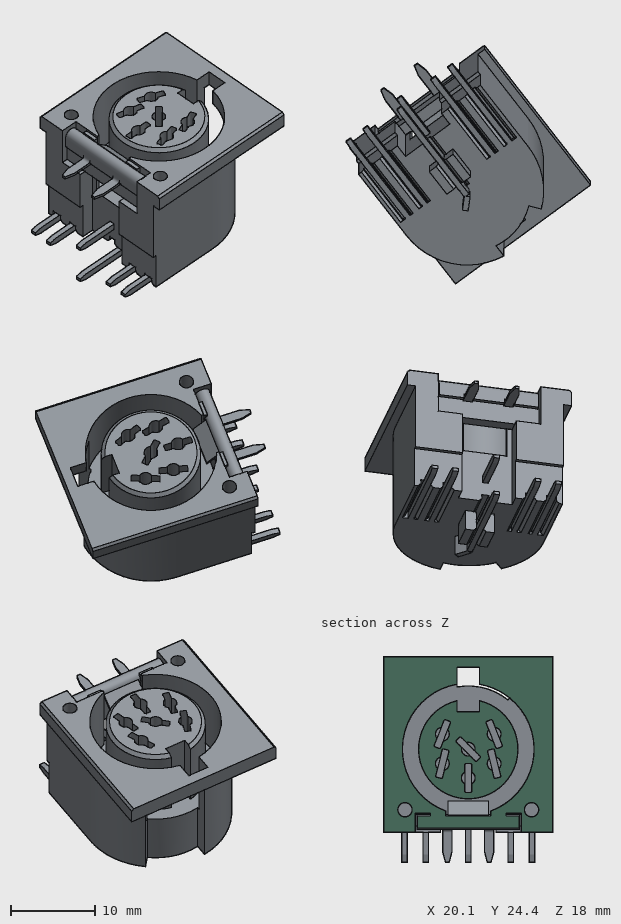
import cadquery as cq
import math


FLANGE_WIDTH = 20.07
FLANGE_BACK_Y = 10.95
FLANGE_THICKNESS = 2.07
FLANGE_EDGE_CHAMFER = 0.28
FRONT_Y = -9.87
HOUSING_RADIUS = 9.04
HOUSING_BOTTOM_Z = -15.47
STEP_TOP_Z = -10.43
STEP_Y = -9.42
SCREW_HOLE_X = 7.5
SCREW_HOLE_Y = -7.18
SCREW_HOLE_RADIUS = 0.83
SCREW_HOLE_DEPTH = 5.0

BORE_RADIUS = 7.79
BORE_FLOOR_Z = -8.88
PLUG_RADIUS = 5.9
PLUG_CHAMFER_WIDTH = 0.45
PLUG_CHAMFER_HEIGHT = 0.4
KEY_WIDTH = 2.64
KEY_INNER_Y = 4.46
KEY_OUTER_Y = 9.69
WALL_GAP_RADIUS = 7.5
WALL_GAP_END_ANGLE = 51.0

CONTACT_OPENINGS = (
    (0.0, 0.0, 45.0),
    (0.0, -3.42, 0.0),
    (-3.07, 1.78, -21.5),
    (3.07, 1.78, 21.5),
    (-3.07, -1.72, -13.8),
    (3.07, -1.72, 13.8),
)
CONTACT_HOLE_RADIUS = 0.8
CONTACT_SLOT_LENGTH = 3.43
CONTACT_SLOT_WIDTH = 0.8
CONTACT_SLOT_CORNER_RADIUS = 0.15
CONTACT_HOLE_DEPTH = 5.0
CONTACT_SLOT_DEPTH = 6.0

RECESS_HALF_WIDTH = 6.26
RECESS_BOTTOM_Z = -5.12
RECESS_BACK_Y = -7.62
CHANNEL_HALF_WIDTH = 3.28
CHANNEL_BACK_Y = -7.8
WINDOW_HALF_WIDTH = 2.66

CLIP_HALF_WIDTH = 6.06
CLIP_BACK_Y = -7.73
CLIP_FRONT_Y = -9.55
CLIP_TOP_Z = -0.36
CLIP_PLATE_BOTTOM_Z = -2.66
CLIP_BASE_FRONT_Y = -9.1
CLIP_LUG_INNER_X = 2.65
CLIP_LUG_OUTER_X = 4.5
CLIP_LUG_FRONT_Y = -8.1
CLIP_LUG_TOP_Z = -0.3
TONGUE_HALF_WIDTH = 2.4
TONGUE_TIP_Y = -6.16
TONGUE_ROOT_Y = -8.1
TONGUE_ROOT_Z = -0.7
TONGUE_DROP = 1.6
SHEET_THICKNESS = 0.34
SHIELD_PIN_X = 2.48
SHIELD_PIN_WIDTH = 1.12
SHIELD_PIN_TIP_WIDTH = 0.45
SHIELD_PIN_TOP_Z = -2.5
SHIELD_PIN_TAPER = 1.25
SHIELD_PIN_BEND = 0.38

PIN_TIP_Y = -13.43
PIN_HEIGHT = 0.87
PIN_WIDTH = 0.68
PIN_TAPER = 0.9
PIN_TIP_HEIGHT = 0.4
UPPER_PIN_TOP_Z = -12.07
LOWER_PIN_TOP_Z = HOUSING_BOTTOM_Z + PIN_HEIGHT
LOWER_PIN_REAR_Y = -1.72
INNER_PIN_X = 5.04
OUTER_PIN_X = 7.56

INNER_SLOT_X = 5.04
INNER_SLOT_HALF_WIDTH = 0.52
OUTER_SLOT_X = 7.68
OUTER_SLOT_HALF_WIDTH = 0.6
SLOT_FLARE = 0.33

BLOCK_HALF_WIDTH = 1.77
BLOCK_BACK_Y = -1.69
BLOCK_FRONT_Y = -5.15
BLOCK_BOTTOM_Z = -18.03
CENTRE_SLOT_HALF_WIDTH = 0.42
CENTRE_SLOT_BACK_Y = -0.6
STRIP_TOP_Z = -15.66
STRIP_BOTTOM_Z = -17.97
STRIP_BACK_Y = -0.1
STRIP_SLOPE_BACK_Y = -3.7
BLADE_TOP_Z = LOWER_PIN_TOP_Z
BLADE_ANGLE = 45.0
BLADE_LENGTH = 1.75

FLANGE_HALF_WIDTH = FLANGE_WIDTH / 2


def box(x_range, y_range, z_range):
    """Box given by its limits along each axis."""
    size = [abs(limits[1] - limits[0]) for limits in (x_range, y_range, z_range)]
    corner = [min(limits) for limits in (x_range, y_range, z_range)]
    return cq.Workplane("XY").box(*size, centered=False).translate(tuple(corner))


def centred_box(half_width, y_range, z_range):
    """Box which is symmetric about X = 0."""
    return box((-half_width, half_width), y_range, z_range)


def cylinder(radius, top_z, bottom_z):
    """Cylinder on the mating axis."""
    return cq.Workplane("XY").workplane(offset=bottom_z).circle(radius).extrude(top_z - bottom_z)


def make_shell():
    """Flange plate over a round-backed housing with a stepped front."""
    flange = centred_box(FLANGE_HALF_WIDTH, (FRONT_Y, FLANGE_BACK_Y), (-FLANGE_THICKNESS, 0))
    flange = flange.faces(">Z").edges("|Y").chamfer(FLANGE_EDGE_CHAMFER)
    round_back = cylinder(HOUSING_RADIUS, -FLANGE_EDGE_CHAMFER, HOUSING_BOTTOM_Z)
    front = centred_box(HOUSING_RADIUS, (FRONT_Y, 0), (HOUSING_BOTTOM_Z, -FLANGE_EDGE_CHAMFER))
    step = centred_box(HOUSING_RADIUS, (FRONT_Y, STEP_Y), (HOUSING_BOTTOM_Z, STEP_TOP_Z))
    shell = flange.union(round_back).union(front).cut(step)
    holes = (
        cq.Workplane("XY")
        .pushPoints([(-SCREW_HOLE_X, SCREW_HOLE_Y), (SCREW_HOLE_X, SCREW_HOLE_Y)])
        .circle(SCREW_HOLE_RADIUS)
        .extrude(-SCREW_HOLE_DEPTH)
    )
    return shell.cut(holes)


def make_wall_gap():
    """Gap in the housing wall below the flange, from the keyway round to one side."""

    def at(radius, angle):
        return radius * math.cos(math.radians(angle)), radius * math.sin(math.radians(angle))

    start_angle = 90.0
    middle_angle = (start_angle + WALL_GAP_END_ANGLE) / 2
    return (
        cq.Workplane("XY", origin=(0, 0, -FLANGE_THICKNESS))
        .moveTo(*at(WALL_GAP_RADIUS, start_angle))
        .threePointArc(at(WALL_GAP_RADIUS, middle_angle), at(WALL_GAP_RADIUS, WALL_GAP_END_ANGLE))
        .lineTo(*at(KEY_OUTER_Y, WALL_GAP_END_ANGLE))
        .threePointArc(at(KEY_OUTER_Y, middle_angle), at(KEY_OUTER_Y, start_angle))
        .close()
        .extrude(HOUSING_BOTTOM_Z + FLANGE_THICKNESS)
    )


def make_keyway():
    """Keyway through the bore wall, open from top to bottom."""
    keyway = centred_box(KEY_WIDTH / 2, (0, KEY_OUTER_Y), (HOUSING_BOTTOM_Z, 0))
    return keyway.cut(cylinder(WALL_GAP_RADIUS, 0, HOUSING_BOTTOM_Z))


def make_contact_opening(x, y, turn):
    """Round hole crossed by a slot for one contact."""
    hole = cq.Workplane("XY").circle(CONTACT_HOLE_RADIUS).extrude(-CONTACT_HOLE_DEPTH)
    slot = cq.Workplane("XY").rect(CONTACT_SLOT_WIDTH, CONTACT_SLOT_LENGTH).extrude(-CONTACT_SLOT_DEPTH)
    slot = slot.edges("|Z").fillet(CONTACT_SLOT_CORNER_RADIUS)
    return hole.union(slot).rotate((0, 0, 0), (0, 0, 1), turn).translate((x, y, 0))


def make_plug():
    """Plug standing on the bore floor, with its key groove and contact openings."""
    outline = (
        cq.Workplane("XZ")
        .moveTo(0, BORE_FLOOR_Z)
        .lineTo(PLUG_RADIUS, BORE_FLOOR_Z)
        .lineTo(PLUG_RADIUS, -PLUG_CHAMFER_HEIGHT)
        .lineTo(PLUG_RADIUS - PLUG_CHAMFER_WIDTH, 0)
        .lineTo(0, 0)
        .close()
    )
    plug = outline.revolve(360, (0, 0, 0), (0, 1, 0))
    plug = plug.cut(centred_box(KEY_WIDTH / 2, (KEY_INNER_Y, PLUG_RADIUS), (BORE_FLOOR_Z, 0)))
    for x, y, turn in CONTACT_OPENINGS:
        plug = plug.cut(make_contact_opening(x, y, turn))
    return plug


def cut_front(shell):
    """Cut the clip recess, the tall channel and the window into the bore."""
    recess = centred_box(RECESS_HALF_WIDTH, (FRONT_Y, RECESS_BACK_Y), (RECESS_BOTTOM_Z, 0))
    channel = centred_box(CHANNEL_HALF_WIDTH, (FRONT_Y, CHANNEL_BACK_Y), (HOUSING_BOTTOM_Z, RECESS_BOTTOM_Z))
    window = centred_box(WINDOW_HALF_WIDTH, (FRONT_Y, -PLUG_RADIUS), (BORE_FLOOR_Z, 0))
    return shell.cut(recess).cut(channel).cut(window)


def make_bottom_slot(centre_x, half_width, y_range, top_z, bottom_z):
    """Slot along Y which is open downwards and flared at its mouth."""
    rear_y = max(y_range)
    length = rear_y - min(y_range)
    mouth = half_width + SLOT_FLARE
    flare_z = bottom_z + SLOT_FLARE
    return (
        cq.Workplane("XZ", origin=(centre_x, rear_y, 0))
        .polyline([
            (-half_width, top_z),
            (half_width, top_z),
            (half_width, flare_z),
            (mouth, bottom_z),
            (-mouth, bottom_z),
            (-half_width, flare_z),
        ])
        .close()
        .extrude(length)
    )


def make_pin(x, top_z, rear_y):
    """Flat pin along Y whose tip tapers in height."""
    bottom_z = top_z - PIN_HEIGHT
    middle_z = (top_z + bottom_z) / 2
    taper_y = PIN_TIP_Y + PIN_TAPER
    return (
        cq.Workplane("YZ", origin=(x, 0, 0))
        .polyline([
            (rear_y, top_z),
            (taper_y, top_z),
            (PIN_TIP_Y, middle_z + PIN_TIP_HEIGHT / 2),
            (PIN_TIP_Y, middle_z - PIN_TIP_HEIGHT / 2),
            (taper_y, bottom_z),
            (rear_y, bottom_z),
        ])
        .close()
        .extrude(PIN_WIDTH / 2, both=True)
    )


def make_guide_block():
    """Block below the housing which guides the centre contact."""
    return centred_box(BLOCK_HALF_WIDTH, (BLOCK_FRONT_Y, BLOCK_BACK_Y), (BLOCK_BOTTOM_Z, HOUSING_BOTTOM_Z))


def make_centre_contact():
    """Upright blade turned about Z, running into a strip and a thin pin."""
    pin = make_pin(0, STRIP_BOTTOM_Z + PIN_HEIGHT, STRIP_BACK_Y)
    strip = (
        cq.Workplane("YZ")
        .polyline([
            (STRIP_BACK_Y, STRIP_TOP_Z),
            (STRIP_SLOPE_BACK_Y, STRIP_TOP_Z),
            (BLOCK_FRONT_Y, STRIP_BOTTOM_Z + PIN_HEIGHT),
            (BLOCK_FRONT_Y, STRIP_BOTTOM_Z),
            (STRIP_BACK_Y, STRIP_BOTTOM_Z),
        ])
        .close()
        .extrude(PIN_WIDTH / 2, both=True)
    )
    blade = centred_box(PIN_WIDTH / 2, (0, BLADE_LENGTH), (STRIP_BOTTOM_Z, BLADE_TOP_Z))
    blade = blade.rotate((0, 0, 0), (0, 0, 1), BLADE_ANGLE)
    return pin.union(strip).union(blade)


def make_shield_pin(x):
    """Sheet pin bent forward out of the clip, tapering in width to its tip."""
    rear_y = CLIP_BASE_FRONT_Y
    taper_y = PIN_TIP_Y + SHIELD_PIN_TAPER
    half_width = SHIELD_PIN_WIDTH / 2
    half_tip = SHIELD_PIN_TIP_WIDTH / 2
    pin = (
        cq.Workplane("XY", origin=(x, 0, SHIELD_PIN_TOP_Z))
        .moveTo(-half_width, rear_y)
        .lineTo(-half_width, taper_y)
        .lineTo(-half_tip, PIN_TIP_Y)
        .lineTo(half_tip, PIN_TIP_Y)
        .lineTo(half_width, taper_y)
        .lineTo(half_width, rear_y)
        .close()
        .extrude(-SHEET_THICKNESS)
    )
    bend_y = CLIP_FRONT_Y - SHIELD_PIN_BEND
    sag = SHIELD_PIN_BEND * (1 - math.sqrt(0.5))
    bend = (
        cq.Workplane("YZ", origin=(x, 0, 0))
        .moveTo(CLIP_FRONT_Y, SHIELD_PIN_TOP_Z + SHIELD_PIN_BEND)
        .threePointArc((CLIP_FRONT_Y - sag, SHIELD_PIN_TOP_Z + sag), (bend_y, SHIELD_PIN_TOP_Z))
        .lineTo(bend_y, SHIELD_PIN_TOP_Z - SHEET_THICKNESS)
        .lineTo(rear_y, SHIELD_PIN_TOP_Z - SHEET_THICKNESS)
        .lineTo(rear_y, SHIELD_PIN_TOP_Z + SHIELD_PIN_BEND)
        .close()
        .extrude(half_width, both=True)
    )
    return pin.union(bend)


def make_clip():
    """Shield clip: round-topped plate on a base, with lugs, tongue and two pins."""
    round_radius = (CLIP_BACK_Y - CLIP_FRONT_Y) / 2
    round_base_z = CLIP_TOP_Z - round_radius
    round_centre_y = (CLIP_BACK_Y + CLIP_FRONT_Y) / 2
    clip = (
        cq.Workplane("YZ")
        .moveTo(CLIP_BACK_Y, CLIP_PLATE_BOTTOM_Z)
        .lineTo(CLIP_BACK_Y, round_base_z)
        .threePointArc((round_centre_y, CLIP_TOP_Z), (CLIP_FRONT_Y, round_base_z))
        .lineTo(CLIP_FRONT_Y, CLIP_PLATE_BOTTOM_Z)
        .close()
        .extrude(CLIP_HALF_WIDTH, both=True)
    )
    base = centred_box(
        RECESS_HALF_WIDTH, (CLIP_BASE_FRONT_Y, CLIP_BACK_Y), (RECESS_BOTTOM_Z, CLIP_PLATE_BOTTOM_Z)
    )
    tongue = (
        cq.Workplane("YZ")
        .polyline([
            (TONGUE_ROOT_Y, TONGUE_ROOT_Z),
            (TONGUE_TIP_Y, TONGUE_ROOT_Z - TONGUE_DROP),
            (TONGUE_TIP_Y, TONGUE_ROOT_Z - TONGUE_DROP - SHEET_THICKNESS),
            (TONGUE_ROOT_Y, TONGUE_ROOT_Z - SHEET_THICKNESS),
        ])
        .close()
        .extrude(TONGUE_HALF_WIDTH, both=True)
    )
    clip = clip.union(base).union(tongue)
    for side in (-1, 1):
        lug = box(
            (side * CLIP_LUG_INNER_X, side * CLIP_LUG_OUTER_X),
            (CLIP_LUG_FRONT_Y, RECESS_BACK_Y),
            (round_base_z, CLIP_LUG_TOP_Z),
        )
        clip = clip.union(lug).union(make_shield_pin(side * SHIELD_PIN_X))
    return clip


part = make_shell().cut(cylinder(BORE_RADIUS, 0, BORE_FLOOR_Z))
part = cut_front(part)
part = part.cut(make_keyway()).cut(make_wall_gap())
part = part.union(make_plug())

part = part.union(make_guide_block())
part = part.cut(make_bottom_slot(
    0, CENTRE_SLOT_HALF_WIDTH, (CHANNEL_BACK_Y, CENTRE_SLOT_BACK_Y), LOWER_PIN_TOP_Z, HOUSING_BOTTOM_Z
))
part = part.cut(make_bottom_slot(
    0, CENTRE_SLOT_HALF_WIDTH, (BLOCK_FRONT_Y, BLOCK_BACK_Y), HOUSING_BOTTOM_Z, BLOCK_BOTTOM_Z
))
for side in (-1, 1):
    for slot_x, slot_half_width in (
        (INNER_SLOT_X, INNER_SLOT_HALF_WIDTH),
        (OUTER_SLOT_X, OUTER_SLOT_HALF_WIDTH),
    ):
        part = part.cut(make_bottom_slot(
            side * slot_x, slot_half_width, (STEP_Y, LOWER_PIN_REAR_Y), LOWER_PIN_TOP_Z, HOUSING_BOTTOM_Z
        ))

for side in (-1, 1):
    for pin_x in (INNER_PIN_X, OUTER_PIN_X):
        part = part.union(make_pin(side * pin_x, LOWER_PIN_TOP_Z, LOWER_PIN_REAR_Y))
part = part.union(make_pin(0, UPPER_PIN_TOP_Z, LOWER_PIN_REAR_Y))
part = part.union(make_centre_contact())
part = part.union(make_clip())

result = part